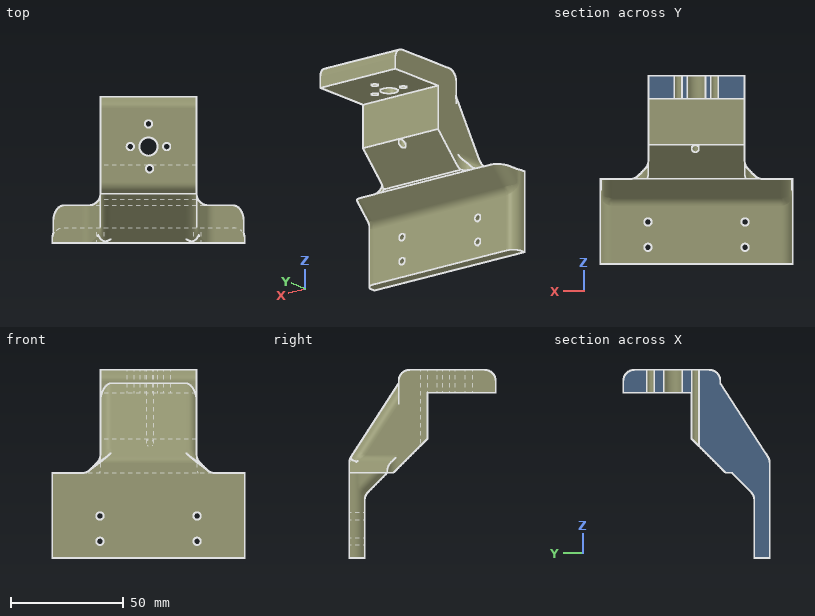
import cadquery as cq
import math

base_width = 86.0
base_height = 38.0
plate_thickness = 7.0
gusset_width = 85.0
gusset_reach = 17.0
gusset_bottom = base_height - (gusset_reach - plate_thickness)

neck_width = 43.0
neck_back = 35.0
neck_back_knee = 53.3
neck_back_bottom = neck_back - (neck_back_knee - base_height)
slope_bottom = 44.0
slope_top = 78.0
head_front = 22.0
head_back = 65.37
head_underside = 73.7
total_height = 84.0

shoulder_leg = slope_bottom - base_height

edge_radius = 5.0

tail_drop = 3.2
tail_depth = 2.8
tail_inset = 1.1

plate_hole_diameter = 3.2
plate_hole_spacing = 43.3
plate_hole_heights = (7.5, 18.8)

bore_diameter = 8.0
bore_y = 43.1
head_hole_diameter = 3.2
head_hole_offsets = [(-8.1, 0), (8.1, 0), (0, 10.1), (0.5, -9.9)]

half_base = base_width / 2
half_neck = neck_width / 2
sides = (-1, 1)

tail_top_x = half_neck + edge_radius * (1 - math.cos(math.radians(45)))
tail_top_z = slope_bottom - (tail_top_x - half_neck)


def yz_prism(points, width):
    """Side outline of (y, z) points, extruded evenly to both sides of the middle."""
    return cq.Workplane("YZ").polyline(points).close().extrude(width / 2, both=True)


def round_edges(body, points):
    """Round the edge nearest to each point, along with the edges tangent to it."""
    edges = [body.edges(cq.selectors.NearestToPointSelector(p)).val() for p in points]
    return body.newObject(edges).fillet(edge_radius)


def on_both_sides(x, y, z):
    """The point and its mirror image on the other side of the part."""
    return [(side * x, y, z) for side in sides]


def make_base():
    """Plate with rounded back corners and a slightly narrower gusset along its top."""
    plate = cq.Workplane("XY").box(base_width, plate_thickness, base_height, centered=(True, False, False))
    plate = plate.edges("|Z and >Y").fillet(edge_radius)
    gusset = yz_prism(
        [(0, gusset_bottom), (plate_thickness, gusset_bottom), (gusset_reach, base_height), (0, base_height)],
        gusset_width,
    )
    middle_y = (plate_thickness + gusset_reach) / 2
    middle_z = (gusset_bottom + base_height) / 2
    gusset = round_edges(gusset, on_both_sides(gusset_width / 2, middle_y, middle_z))
    base = plate.union(gusset)
    margin = 0.1
    seam = cq.selectors.BoxSelector(
        (-half_base, plate_thickness / 2, gusset_bottom - margin),
        (half_base, plate_thickness + margin, base_height - margin),
    )
    return base.edges(seam).fillet(edge_radius)


def neck_prism(width):
    """Side outline of the neck below the head, with its sloping front and 45 degree back."""
    return yz_prism(
        [
            (0, base_height),
            (0, slope_bottom),
            (head_front, slope_top),
            (neck_back, slope_top),
            (neck_back, neck_back_knee),
            (neck_back_bottom, base_height),
        ],
        width,
    )


def make_shoulders():
    """Webs with a 45 degree top, curving into the sides of the neck at the top and the back."""
    foot = half_neck + shoulder_leg
    front = (
        cq.Workplane("XZ")
        .moveTo(half_base, 0)
        .lineTo(half_base, base_height)
        .lineTo(foot, base_height)
        .lineTo(half_neck, slope_bottom)
        .lineTo(half_neck, slope_top)
        .lineTo(0, slope_top)
        .lineTo(0, 0)
        .close()
        .extrude(-neck_back)
    )
    front = round_edges(front, [(foot, head_front, base_height), (half_neck, head_front, slope_bottom)])
    plan = (
        cq.Workplane("XY")
        .lineTo(half_base, 0)
        .lineTo(half_base, gusset_reach)
        .lineTo(half_neck, gusset_reach)
        .lineTo(half_neck, neck_back)
        .lineTo(0, neck_back)
        .close()
        .extrude(slope_top)
    )
    plan = round_edges(plan, [(half_neck, gusset_reach, slope_bottom)])
    shoulder = front.intersect(plan).intersect(neck_prism(base_width))
    return shoulder.union(shoulder.mirror("YZ"))


def below_tail(side):
    """Block below the sloping plane on which the side rounding fades out."""
    top = cq.Vector(side * tail_top_x, 0, tail_top_z)
    tip = cq.Vector(side * (tail_top_x + tail_drop), 0, tail_top_z - tail_drop)
    inset = top - cq.Vector(side * tail_inset, 0, 0)
    deep = top + cq.Vector(0, tail_depth, 0)
    down = (inset - tip).cross(deep - tip) * side
    return cq.Workplane(cq.Plane(tip, deep - tip, down)).rect(2 * base_width, 2 * base_width).extrude(base_width)


def make_neck_and_base():
    """Neck, shoulders and base in one body, with the neck's front edges rounded."""
    body = neck_prism(neck_width).union(make_shoulders()).union(make_base()).clean()
    body = round_edges(body, [(0, 0, slope_bottom)])
    rounded = round_edges(body, on_both_sides(half_neck, head_front / 2, (slope_bottom + slope_top) / 2))
    low_block = cq.Workplane("XY").box(
        base_width, head_front, tail_top_z - tail_drop, centered=(True, False, False)
    )
    square_part = below_tail(-1).intersect(below_tail(1)).union(low_block).intersect(body)
    return rounded.union(square_part)


def make_head():
    """Head block and the upright part of the neck below it."""
    profile = [
        (head_front, base_height + head_front - neck_back_bottom),
        (head_front, total_height),
        (head_back, total_height),
        (head_back, head_underside),
        (neck_back, head_underside),
        (neck_back, neck_back_knee),
    ]
    return yz_prism(profile, neck_width).edges("|X and >Z").fillet(edge_radius)


def plate_holes():
    """Pins for the four screw holes through the plate."""
    points = [(side * plate_hole_spacing / 2, z) for side in sides for z in plate_hole_heights]
    return cq.Workplane("XZ").pushPoints(points).circle(plate_hole_diameter / 2).extrude(-gusset_reach)


def head_holes():
    """Pins for the bore and screw holes, long enough that the front one leaves through the neck."""
    level = cq.Workplane("XY", origin=(0, bore_y, base_height))
    depth = total_height - base_height
    screws = level.pushPoints(head_hole_offsets).circle(head_hole_diameter / 2).extrude(depth)
    return level.circle(bore_diameter / 2).extrude(depth).union(screws)


result = make_neck_and_base().union(make_head()).cut(plate_holes()).cut(head_holes())